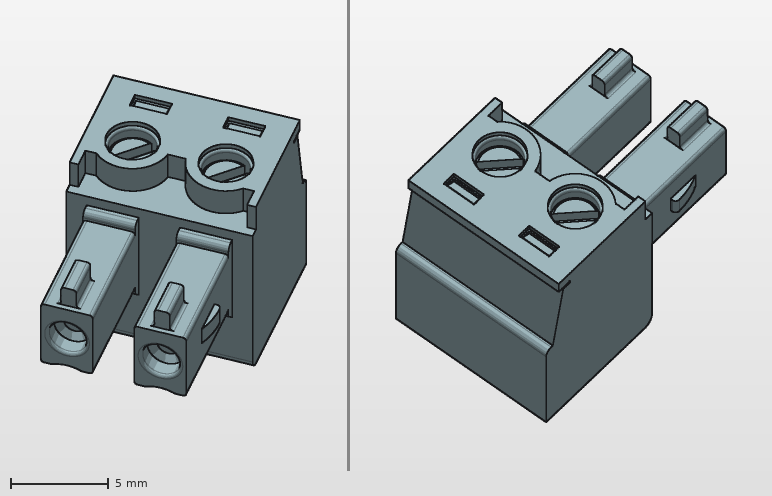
import cadquery as cq
import math


full_turn = 360

width = 10.15
total_length = 15.6
height = 11.1
sleeve_reach = 7.19
body_depth = total_length - sleeve_reach
pole_pitch = 5.09
pole_centers = (-pole_pitch / 2, pole_pitch / 2)

bottom_round = 0.6
ledge_z = 9.52
top_front_y = 0.53
top_back_y = 7.41
lip_bottom_z = 10.4
slot_bottom_z = 10.3
slot_end_y = 6.5
slope_top_y = 7.05
slope_bottom_y = 7.88
shoulder_z = 6.18
shoulder_round = 0.4

end_wall = 0.48
relief_back_y = 1.62
notch_back_y = 2.75
boss_radius = 2.09
screw_y = 3.12

well_radius = 1.42
well_rim_depth = 0.28
well_round = 0.15
bore_radius = well_radius - well_round
head_depth = 0.92
head_chamfer = 0.12
head_chamfer_drop = 0.06
drive_slot_width = 0.6
drive_slot_depth = 0.67
drive_slot_angle = 45

pocket_length = 2.03
pocket_width = 0.81
pocket_y = 5.99
pocket_depth = 0.25
pocket_side_ledge = 0.11
pocket_back_ledge = 0.15
pocket_floor_drop = 0.2

sleeve_width = 2.84
sleeve_bottom_z = 4.25
sleeve_top_z = 8.36
sleeve_round = 0.2
arch_half_width = 0.81
arch_height = 0.17
collar_reach = 0.58
collar_top_z = 8.89
collar_round = 0.36
collar_bottom_z = 3.4

socket_z = 6.33
socket_radius = 1.03
socket_mouth_round = 0.19
socket_floor_radius = 0.61
socket_bore_end = 0.95
socket_cone_depth = 0.31

key_width = 0.85
key_front_y = -6.9
key_back_y = -4.7
key_top_z = 9.58
key_round = 0.2

bump_height = 1.0
bump_reach = 0.37
bump_back_y = -2.78
bump_round = 0.25
bump_front_y = -4.76
bump_bulge = 0.1


def extrude_across(outline, center_x, span):
    """Extrude a YZ outline along X, centred on center_x."""
    return outline.extrude(span / 2, both=True).translate((center_x, 0, 0))


def spanning_box(x_min, x_max, y_min, y_max, z_min, z_max):
    size = (x_max - x_min, y_max - y_min, z_max - z_min)
    return cq.Workplane().box(*size, centered=False).translate((x_min, y_min, z_min))


def round_point(center, radius, angle):
    """Point on a circle at an angle in degrees."""
    turn = math.radians(angle)
    return (center[0] + radius * math.cos(turn), center[1] + radius * math.sin(turn))


def housing():
    shoulder_center = (body_depth - shoulder_round, shoulder_z - shoulder_round)
    bottom_center = (bottom_round, bottom_round)
    outline = (
        cq.Workplane("YZ")
        .moveTo(bottom_round, 0)
        .lineTo(body_depth, 0)
        .lineTo(body_depth, shoulder_z - shoulder_round)
        .threePointArc(
            round_point(shoulder_center, shoulder_round, 45),
            (body_depth - shoulder_round, shoulder_z),
        )
        .lineTo(slope_bottom_y, shoulder_z)
        .lineTo(slope_top_y, slot_bottom_z)
        .lineTo(slot_end_y, slot_bottom_z)
        .lineTo(slot_end_y, lip_bottom_z)
        .lineTo(top_back_y, lip_bottom_z)
        .lineTo(top_back_y, height)
        .lineTo(top_front_y, height)
        .lineTo(top_front_y, ledge_z)
        .lineTo(0, ledge_z)
        .lineTo(0, bottom_round)
        .threePointArc(round_point(bottom_center, bottom_round, 225), (bottom_round, 0))
        .close()
    )
    return extrude_across(outline, 0, width)


def boss_relief():
    """Space above the front ledge, leaving the end walls and round bosses."""
    half_relief = width / 2 - end_wall
    relief = spanning_box(-half_relief, half_relief, 0, relief_back_y, ledge_z, height)
    notch = spanning_box(*pole_centers, 0, notch_back_y, ledge_z, height)
    relief = relief.union(notch)
    for x in pole_centers:
        boss = (
            cq.Workplane("XY", origin=(x, screw_y, ledge_z))
            .circle(boss_radius)
            .extrude(height - ledge_z)
        )
        relief = relief.cut(boss)
    return relief


def screw_well(x):
    """Stepped well above a chamfered, slotted screw head."""
    throat_depth = well_rim_depth + well_round
    bore = (
        cq.Workplane("XZ")
        .lineTo(well_radius, 0)
        .lineTo(well_radius, -throat_depth)
        .lineTo(bore_radius, -throat_depth)
        .lineTo(bore_radius, -head_depth - head_chamfer_drop)
        .lineTo(bore_radius - head_chamfer, -head_depth)
        .lineTo(0, -head_depth)
        .close()
        .revolve(full_turn, (0, 0), (0, 1))
    )
    throat_ring = (
        cq.Workplane("XZ")
        .moveTo(well_radius, -throat_depth)
        .lineTo(well_radius, -well_rim_depth)
        .threePointArc(
            round_point((well_radius, -throat_depth), well_round, 135),
            (bore_radius, -throat_depth),
        )
        .close()
        .revolve(full_turn, (0, 0), (0, 1))
    )
    slot_bottom = head_depth + drive_slot_depth
    drive_slot = (
        cq.Workplane("XY", origin=(0, 0, -slot_bottom))
        .rect(2 * well_radius, drive_slot_width)
        .extrude(drive_slot_depth)
        .rotate((0, 0, 0), (0, 0, 1), drive_slot_angle)
        .intersect(cq.Workplane("XY").circle(bore_radius).extrude(-slot_bottom))
    )
    return bore.cut(throat_ring).union(drive_slot).translate((x, screw_y, height))


def test_pocket(x):
    """Shallow pocket whose floor has a ledge around a sloping recess."""
    front_y = pocket_y - pocket_width / 2
    back_y = pocket_y + pocket_width / 2
    ledge_floor_z = height - pocket_depth
    half_length = pocket_length / 2
    opening = spanning_box(x - half_length, x + half_length, front_y, back_y, ledge_floor_z, height)
    recess_front_y = front_y + pocket_side_ledge
    slope = (
        cq.Workplane("YZ")
        .moveTo(recess_front_y, ledge_floor_z)
        .lineTo(recess_front_y, ledge_floor_z - pocket_floor_drop)
        .lineTo(back_y - pocket_back_ledge, ledge_floor_z)
        .close()
    )
    recess = extrude_across(slope, x, pocket_length - 2 * pocket_side_ledge)
    return opening.union(recess)


def sleeve_shaft(x):
    """Rounded bar with a shallow arch along its underside."""
    half_width = sleeve_width / 2
    shaft = (
        spanning_box(x - half_width, x + half_width, -sleeve_reach, 0, sleeve_bottom_z, sleeve_top_z)
        .edges("|Y")
        .fillet(sleeve_round)
    )
    arch = (
        cq.Workplane("XZ", origin=(x, 0, sleeve_bottom_z))
        .moveTo(-arch_half_width, 0)
        .threePointArc((0, arch_height), (arch_half_width, 0))
        .close()
        .extrude(sleeve_reach)
    )
    return shaft.cut(arch)


def sleeve_collar(x):
    """Root collar, rounded on top and bevelled at 45 degrees below."""
    round_center = (collar_round - collar_reach, collar_top_z - collar_round)
    outline = (
        cq.Workplane("YZ")
        .moveTo(0, collar_bottom_z)
        .lineTo(-collar_reach, collar_bottom_z + collar_reach)
        .lineTo(-collar_reach, collar_top_z - collar_round)
        .threePointArc(
            round_point(round_center, collar_round, 135),
            (collar_round - collar_reach, collar_top_z),
        )
        .lineTo(0, collar_top_z)
        .close()
    )
    return extrude_across(outline, x, sleeve_width)


def coding_key(x):
    """Key on top of a sleeve, with rounded top edges and flared feet."""
    half_width = key_width / 2
    foot_half_width = half_width + key_round
    shank = (
        spanning_box(x - half_width, x + half_width, key_front_y, key_back_y, sleeve_top_z, key_top_z)
        .edges("|Y and >Z")
        .fillet(key_round)
    )
    foot_center_z = sleeve_top_z + key_round
    foot = spanning_box(
        x - foot_half_width, x + foot_half_width, key_front_y, key_back_y, sleeve_top_z, foot_center_z
    )
    for side in (-1, 1):
        hollow = (
            cq.Workplane("XZ", origin=(x + side * foot_half_width, key_back_y, foot_center_z))
            .circle(key_round)
            .extrude(key_back_y - key_front_y)
        )
        foot = foot.cut(hollow)
    return shank.union(foot)


def latch_bump(x, side):
    """Ramped bump on the outer wall of a sleeve; side is -1 or 1."""
    wall_x = x + side * sleeve_width / 2
    crest_x = wall_x + side * bump_reach
    crest_y = bump_back_y - bump_round
    bulge_point = (
        (wall_x + crest_x) / 2 + side * bump_bulge,
        (crest_y + bump_front_y) / 2,
    )
    round_center = (crest_x - side * bump_round, crest_y)
    return (
        cq.Workplane("XY", origin=(0, 0, socket_z - bump_height / 2))
        .moveTo(wall_x, bump_back_y)
        .lineTo(crest_x - side * bump_round, bump_back_y)
        .threePointArc(
            round_point(round_center, bump_round, 90 - side * 45),
            (crest_x, crest_y),
        )
        .threePointArc(bulge_point, (wall_x, bump_front_y))
        .close()
        .extrude(bump_height)
    )


def socket(x):
    """Round contact socket with a rounded mouth and a conical end."""
    socket_floor_depth = socket_bore_end + socket_cone_depth
    mouth_radius = socket_radius + socket_mouth_round
    mouth_center = (mouth_radius, socket_mouth_round)
    return (
        cq.Workplane("XY")
        .lineTo(mouth_radius, 0)
        .threePointArc(
            round_point(mouth_center, socket_mouth_round, 225),
            (socket_radius, socket_mouth_round),
        )
        .lineTo(socket_radius, socket_bore_end)
        .lineTo(socket_floor_radius, socket_floor_depth)
        .lineTo(0, socket_floor_depth)
        .close()
        .revolve(full_turn, (0, 0), (0, 1))
        .translate((x, -sleeve_reach, socket_z))
    )


result = housing().cut(boss_relief())
for pole_x in pole_centers:
    outer_side = math.copysign(1, pole_x)
    result = (
        result.union(sleeve_collar(pole_x))
        .union(sleeve_shaft(pole_x))
        .union(coding_key(pole_x))
        .union(latch_bump(pole_x, outer_side))
        .cut(socket(pole_x))
        .cut(screw_well(pole_x))
        .cut(test_pocket(pole_x))
    )